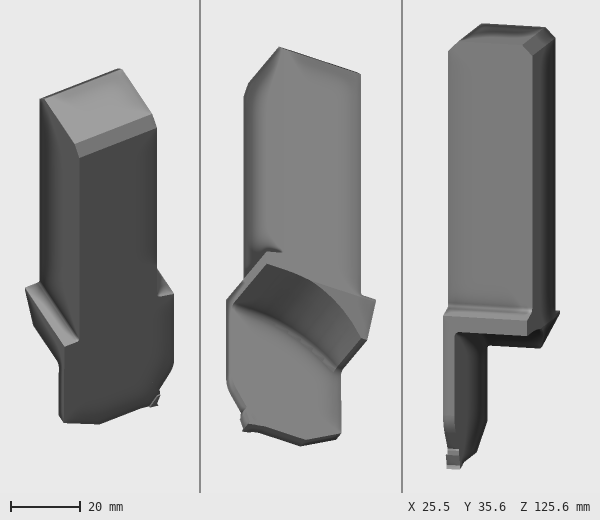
import cadquery as cq
import math

total_height = 125.6
shank_width = 25.0
shank_front = 4.8
shank_back = shank_front + shank_width
shank_chamfer = 3.0

head_depth = 35.3
front_ledge_height = 41.6
front_ledge_fillet = 0.8
back_ledge_height = 46.1
back_ledge_slope = 15.0
back_ledge_fillet = 1.5
side_chamfer_height = 40.7
side_chamfer_width = 5.4

blade_thickness = 3.4
blade_side = shank_width - blade_thickness
blade_bottom = 1.1
front_lean = 0.3
front_bevel_width = 11.3
front_bevel_height = 7.9
back_bevel_height = 14.1
back_bevel_foot = 27.4
back_bevel_fillet = 10.0
relief_top = 41.6
relief_front_height = 30.5
relief_front_length = 1.9
relief_fillet = 1.5

tip_side = 21.5
tip_outer = 25.5
insert_tip = (30.0, 0)
insert_tip_heel = (27.1, 0.6)
insert_nose = (29.5, 1.1)
insert_flank_low = (30.6, 4.3)
insert_flank_high = (30.6, 5.7)
insert_shoulder = (28.8, 10.3)
insert_top_back = (27.0, 11.8)
insert_top_front = (22.5, 11.8)
insert_front_high = (22.0, 11.3)
insert_front_low = (22.0, 9.2)
insert_foot = (24.68, 1.1)
insert_tip_top = (29.8, 4.3)


def yz_prism(outline, start_x, end_x):
    """Extrude a closed (Y, Z) outline between two X positions."""
    return cq.Workplane("YZ", origin=(start_x, 0, 0)).polyline(outline).close().extrude(end_x - start_x)


def make_shank_and_head():
    ledge_rise = (head_depth - shank_back) * math.tan(math.radians(back_ledge_slope))
    ledge_inner_height = back_ledge_height + ledge_rise
    outline = [
        (front_bevel_width, blade_bottom),
        (-front_lean, front_bevel_height),
        (0, front_ledge_height),
        (shank_front, front_ledge_height),
        (shank_front, total_height),
        (shank_back, total_height),
        (shank_back, ledge_inner_height),
        (head_depth, back_ledge_height),
        (head_depth, back_bevel_height),
        (back_bevel_foot, blade_bottom),
    ]
    body = yz_prism(outline, 0, shank_width)
    corner_fillets = [
        (shank_front, front_ledge_height, front_ledge_fillet),
        (shank_back, ledge_inner_height, back_ledge_fillet),
        (head_depth, back_bevel_height, back_bevel_fillet),
    ]
    for y, z, radius in corner_fillets:
        corner = cq.selectors.NearestToPointSelector((shank_width / 2, y, z))
        body = body.edges("|X").edges(corner).fillet(radius)
    return body.faces(">Z").edges("|Y").chamfer(shank_chamfer)


def make_relief():
    """Space beside the blade, under an arc that leaves the back stretch tangentially."""
    arc_span = shank_back - relief_front_length
    arc_drop = relief_top - relief_front_height
    arc_radius = (arc_span**2 + arc_drop**2) / (2 * arc_drop)
    half_angle = math.asin(arc_span / arc_radius) / 2
    arc_middle = (
        shank_back - arc_radius * math.sin(half_angle),
        relief_top - arc_radius * (1 - math.cos(half_angle)),
    )
    clearance = 1.3
    relief = (
        cq.Workplane("YZ", origin=(-clearance, 0, 0))
        .moveTo(-clearance, -clearance)
        .lineTo(-clearance, relief_front_height)
        .lineTo(relief_front_length, relief_front_height)
        .threePointArc(arc_middle, (shank_back, relief_top))
        .lineTo(head_depth + clearance, relief_top)
        .lineTo(head_depth + clearance, -clearance)
        .close()
        .extrude(blade_side + clearance)
    )
    upper_edges = cq.selectors.BoxSelector(
        (blade_side - clearance, -clearance / 2, relief_front_height - clearance),
        (blade_side + clearance, head_depth + clearance / 2, relief_top + clearance),
    )
    return relief.edges(upper_edges).fillet(relief_fillet)


def make_side_chamfer():
    outline = [
        (0, side_chamfer_height),
        (side_chamfer_width, relief_front_height),
        (0, relief_front_height),
    ]
    front_plane = cq.Workplane("XZ", origin=(0, -front_lean, 0))
    return front_plane.polyline(outline).close().extrude(-(head_depth + front_lean))


def make_insert():
    outline = [
        insert_tip,
        insert_nose,
        insert_flank_low,
        insert_flank_high,
        insert_shoulder,
        insert_top_back,
        insert_top_front,
        insert_front_high,
        insert_front_low,
        insert_foot,
        insert_tip_heel,
    ]
    tip_outline = [insert_tip, insert_nose, insert_flank_low, insert_tip_top, insert_tip_heel]
    body = yz_prism(outline, blade_side, shank_width)
    wide_tip = yz_prism(tip_outline, tip_side, tip_outer)
    return body.union(wide_tip)


insert = make_insert()
holder = (
    make_shank_and_head()
    .cut(make_relief())
    .cut(make_side_chamfer())
    .cut(insert)
)

result = cq.Compound.makeCompound([holder.val(), insert.val()])